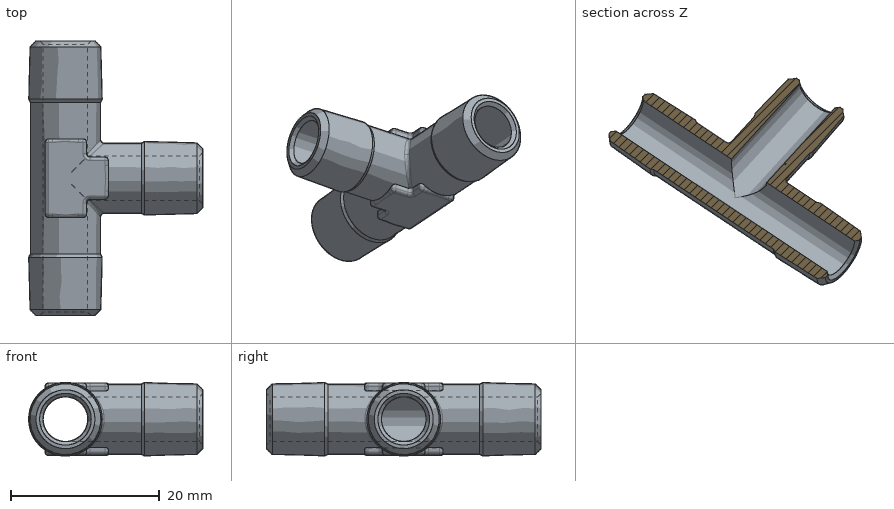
import cadquery as cq

run_half_length = 18.5
branch_length = 18.5

pipe_radius = 4.75
collar_radius = 4.95
tip_radius = 4.77
end_length = 7.85
collar_step_length = 0.45
end_chamfer = 0.8

bore_radius = 3.0
bore_chamfer = 0.48

pad_height = 4.9
pad_back = 2.75
pad_half_width = 2.85
pad_half_length = 5.3
pad_branch_reach = 5.77
edge_radius = 0.48
crotch_radius = 0.48


def arm_profile(length):
    """Half section of one arm, with radius along X and the arm axis along Y."""
    collar = length - end_length
    return [
        (0, 0),
        (pipe_radius, 0),
        (pipe_radius, collar - collar_step_length),
        (collar_radius, collar),
        (tip_radius, length - end_chamfer),
        (tip_radius - end_chamfer, length),
        (0, length),
    ]


def bore_profile(length):
    """Half section of the bore of one arm, widening at its mouth."""
    return [
        (0, 0),
        (bore_radius, 0),
        (bore_radius, length - bore_chamfer),
        (bore_radius + bore_chamfer, length),
        (0, length),
    ]


def revolve_about_y(profile):
    return cq.Workplane("XY").polyline(profile).close().revolve(360, (0, 0, 0), (0, 1, 0))


def make_tee(profile_for):
    """Join two opposite arms along Y and one arm along +X."""
    run_arm = revolve_about_y(profile_for(run_half_length))
    opposite_arm = run_arm.rotate((0, 0, 0), (0, 0, 1), 180)
    branch_arm = revolve_about_y(profile_for(branch_length)).rotate((0, 0, 0), (0, 0, 1), -90)
    return run_arm.union(opposite_arm).union(branch_arm)


def make_pads():
    """T-shaped block through the crossing, whose top and bottom faces are the pads."""
    outline = [
        (-pad_back, -pad_half_length),
        (pad_half_width, -pad_half_length),
        (pad_half_width, -pad_half_width),
        (pad_branch_reach, -pad_half_width),
        (pad_branch_reach, pad_half_width),
        (pad_half_width, pad_half_width),
        (pad_half_width, pad_half_length),
        (-pad_back, pad_half_length),
    ]
    block = cq.Workplane("XY").polyline(outline).close().extrude(pad_height, both=True)
    return block.edges("|Z").fillet(edge_radius)


def round_crotches(body):
    """Round the two inside corners where the branch leaves the run."""
    reach = pipe_radius + crotch_radius
    corner_zone = cq.selectors.BoxSelector(
        (pad_half_width, -reach, -pipe_radius), (reach, reach, pipe_radius)
    )
    crotch_edges = body.edges(corner_zone).edges("%ELLIPSE")
    return crotch_edges.fillet(crotch_radius)


def round_pads(body):
    """Round the rims of the upper and lower pads where they stand above the pipes."""
    for side in (1, -1):
        pad_probe = (0, 0, side * pad_height)
        pad_face = body.faces(cq.selectors.NearestToPointSelector(pad_probe))
        body = pad_face.edges().fillet(edge_radius)
    return body


body = make_tee(arm_profile).union(make_pads())
body = round_crotches(body)
body = round_pads(body)
result = body.cut(make_tee(bore_profile))